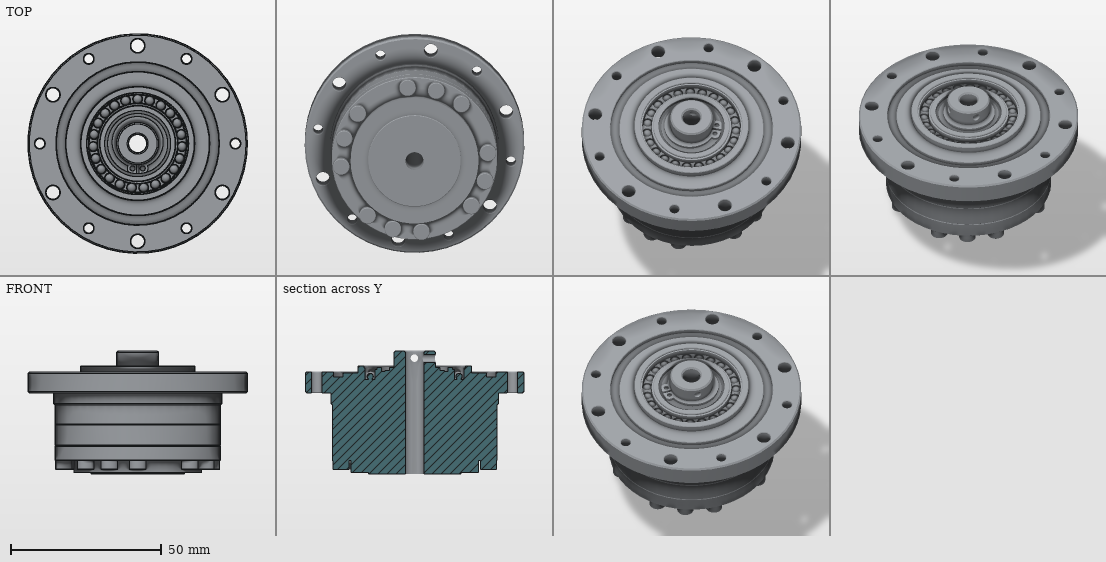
import cadquery as cq
import math

PILOT_HEIGHT = 0.5
BOLT_HEAD_BOTTOM = 1.5
BOLT_HEAD_HEIGHT = 3.0
COVER_THICKNESS = 5.0
GEAR_RING_THICKNESS = 7.0
BODY_HEIGHT = 6.5
SPIGOT_HEIGHT = 4.0
FLANGE_THICKNESS = 7.0
OUTER_RACE_HEIGHT = 2.0
INNER_RACE_DROP = 0.5
COVER_BOTTOM = BOLT_HEAD_BOTTOM + BOLT_HEAD_HEIGHT
COVER_TOP = COVER_BOTTOM + COVER_THICKNESS
GEAR_RING_TOP = COVER_TOP + GEAR_RING_THICKNESS
SPIGOT_BOTTOM = GEAR_RING_TOP + BODY_HEIGHT
FLANGE_BOTTOM = SPIGOT_BOTTOM + SPIGOT_HEIGHT
FLANGE_TOP = FLANGE_BOTTOM + FLANGE_THICKNESS
OUTER_RACE_TOP = FLANGE_TOP + OUTER_RACE_HEIGHT
INNER_RACE_TOP = OUTER_RACE_TOP - INNER_RACE_DROP
SHAFT_TOP = 41.0

PILOT_DIAMETER = 31.0
HUB_DIAMETER = 42.5
BODY_DIAMETER = 55.0
SPIGOT_DIAMETER = 56.0
FLANGE_DIAMETER = 73.0
OUTER_RACE_DIAMETER = 38.0
SHAFT_DIAMETER = 14.0
BORE_DIAMETER = 6.0

EDGE_CHAMFER = 0.5
FINE_CHAMFER = 0.2
HOLE_CHAMFER = 0.2

CARRIER_DROP = 0.2
FACE_GROOVE_DEPTH = 1.6
CARRIER_TOP = FLANGE_TOP - CARRIER_DROP
FACE_GROOVE_INNER_DIAMETER = 48.0
FACE_GROOVE_OUTER_DIAMETER = 54.0
FACE_GROOVE_FLOOR = FLANGE_TOP - FACE_GROOVE_DEPTH

BALL_COUNT = 23
BALL_DIAMETER = 3.0
BALL_CIRCLE_RADIUS = 14.8
BALL_CENTRE_Z = 32.5
FIRST_BALL_ANGLE = 90.0
RACE_GAP_FLOOR = 31.5
RACE_GAP_INNER_RADIUS = 13.25
RACE_GAP_OUTER_RADIUS = 16.4
INNER_LIP_RADIUS = 12.5
OUTER_LIP_RADIUS = 17.0
LIP_DEPTH = 0.6
CAGE_INNER_RADIUS = 13.5
CAGE_OUTER_RADIUS = 16.1
CAGE_TOP = 33.7
CAGE_POCKET_CLEARANCE = 0.3
CAGE_POCKET_DIAMETER = BALL_DIAMETER + CAGE_POCKET_CLEARANCE

RECESS_DIAMETER = 22.0
RECESS_DEPTH = 1.3
RECESS_FLOOR = INNER_RACE_TOP - RECESS_DEPTH
COLLAR_DIAMETER = 20.0
COLLAR_HEIGHT = 0.4
RETAINING_RING_BOTTOM = RECESS_FLOOR + COLLAR_HEIGHT
RETAINING_RING_THICKNESS = 1.0
RETAINING_RING_DIAMETER = 17.0
RETAINING_RING_OFFSET_Y = 0.5
LUG_DIAMETER = 3.5
LUG_HOLE_DIAMETER = 1.7
LUG_HOLE_X = 1.7
LUG_HOLE_Y = (LUG_DIAMETER - COLLAR_DIAMETER) / 2
LUG_GAP = 0.8

FLANGE_HOLE_CIRCLE_RADIUS = 32.5
FLANGE_HOLE_COUNT = 6
CLEARANCE_HOLE_DIAMETER = 4.5
CLEARANCE_HOLE_START = 30.0
TAPPED_HOLE_DIAMETER = 3.24
TAPPED_HOLE_START = 0.0
SET_SCREW_DIAMETER = 2.46
SET_SCREW_Z = 38.5
BOLT_HEAD_DIAMETER = 5.5
BOLT_CIRCLE_RADIUS = 24.5
BOLT_ANGLES_PER_QUARTER = (0.0, 45.0, 67.5)


def disc(diameter, bottom, top):
    """Plain cylinder on the Z axis."""
    return cq.Workplane("XY").workplane(offset=bottom).circle(diameter / 2).extrude(top - bottom)


def ring(inner_diameter, outer_diameter, bottom, top):
    """Plain tube on the Z axis."""
    return disc(outer_diameter, bottom, top).cut(disc(inner_diameter, bottom, top))


def revolve_profile(points):
    """Solid of revolution about the Z axis from (radius, z) corner points."""
    return cq.Workplane("XZ").polyline(points).close().revolve(360, (0, 0, 0), (0, 1, 0))


def polar_points(radius, angles):
    """Points at the given angles (degrees) on a circle about the Z axis."""
    return [
        (radius * math.cos(math.radians(angle)), radius * math.sin(math.radians(angle)))
        for angle in angles
    ]


def even_angles(start, count):
    """Equally spaced angles (degrees) around a full turn."""
    return [start + 360.0 * index / count for index in range(count)]


def make_housing():
    """Stack of coaxial steps, with the seams between them marked by small V grooves."""
    pilot = disc(PILOT_DIAMETER, 0, PILOT_HEIGHT).faces("<Z").chamfer(FINE_CHAMFER)
    hub = disc(HUB_DIAMETER, PILOT_HEIGHT, COVER_BOTTOM)
    cover = disc(BODY_DIAMETER, COVER_BOTTOM, COVER_TOP).edges().chamfer(FINE_CHAMFER)
    gear_ring = disc(BODY_DIAMETER, COVER_TOP, GEAR_RING_TOP).edges().chamfer(FINE_CHAMFER)
    body = disc(BODY_DIAMETER, GEAR_RING_TOP, SPIGOT_BOTTOM).faces("<Z").chamfer(FINE_CHAMFER)
    spigot_chamfer = (SPIGOT_DIAMETER - BODY_DIAMETER) / 2
    spigot = disc(SPIGOT_DIAMETER, SPIGOT_BOTTOM, FLANGE_BOTTOM).faces("<Z").chamfer(spigot_chamfer)
    flange = disc(FLANGE_DIAMETER, FLANGE_BOTTOM, FLANGE_TOP).edges().chamfer(EDGE_CHAMFER)
    outer_race = disc(OUTER_RACE_DIAMETER, FLANGE_TOP, OUTER_RACE_TOP).faces(">Z").chamfer(FINE_CHAMFER)
    housing = pilot
    for step in (hub, cover, gear_ring, body, spigot, flange, outer_race):
        housing = housing.union(step)
    return housing


def cut_face_groove(part):
    """Groove with both rims chamfered; the face inside it is lowered."""
    inner = FACE_GROOVE_INNER_DIAMETER / 2
    outer = FACE_GROOVE_OUTER_DIAMETER / 2
    cutter = revolve_profile([
        (OUTER_RACE_DIAMETER / 2, CARRIER_TOP),
        (inner - FINE_CHAMFER, CARRIER_TOP),
        (inner, CARRIER_TOP - FINE_CHAMFER),
        (inner, FACE_GROOVE_FLOOR),
        (outer, FACE_GROOVE_FLOOR),
        (outer, FLANGE_TOP - FINE_CHAMFER),
        (outer + FINE_CHAMFER, FLANGE_TOP),
        (OUTER_RACE_DIAMETER / 2, FLANGE_TOP),
    ])
    return part.cut(cutter)


def cut_bearing_gap(part):
    """Lower the inner race and open the gap between the races, with a stepped lip on each."""
    inner_lip = INNER_LIP_RADIUS + FINE_CHAMFER
    outer_lip = OUTER_LIP_RADIUS - FINE_CHAMFER
    inner_ledge = INNER_RACE_TOP - LIP_DEPTH
    outer_ledge = OUTER_RACE_TOP - LIP_DEPTH
    cutter = revolve_profile([
        (0, INNER_RACE_TOP),
        (INNER_LIP_RADIUS, INNER_RACE_TOP),
        (inner_lip, INNER_RACE_TOP - FINE_CHAMFER),
        (inner_lip, inner_ledge),
        (RACE_GAP_INNER_RADIUS, inner_ledge),
        (RACE_GAP_INNER_RADIUS, RACE_GAP_FLOOR),
        (RACE_GAP_OUTER_RADIUS, RACE_GAP_FLOOR),
        (RACE_GAP_OUTER_RADIUS, outer_ledge),
        (outer_lip, outer_ledge),
        (outer_lip, OUTER_RACE_TOP - FINE_CHAMFER),
        (OUTER_LIP_RADIUS, OUTER_RACE_TOP),
        (0, OUTER_RACE_TOP),
    ])
    return part.cut(cutter)


def add_cage_and_balls(part):
    """Cage posts standing on the gap floor, with a ball in the pocket between each pair."""
    centres = polar_points(BALL_CIRCLE_RADIUS, even_angles(FIRST_BALL_ANGLE, BALL_COUNT))
    cage = ring(2 * CAGE_INNER_RADIUS, 2 * CAGE_OUTER_RADIUS, RACE_GAP_FLOOR, CAGE_TOP)
    pockets = (
        cq.Workplane("XY")
        .workplane(offset=RACE_GAP_FLOOR)
        .pushPoints(centres)
        .circle(CAGE_POCKET_DIAMETER / 2)
        .extrude(CAGE_TOP - RACE_GAP_FLOOR)
    )
    part = part.union(cage.cut(pockets))
    ball = cq.Workplane("XY").sphere(BALL_DIAMETER / 2)
    for x, y in centres:
        part = part.union(ball.translate((x, y, BALL_CENTRE_Z)))
    return part


def cut_recess(part):
    """Round recess in the inner race, leaving the shaft collar standing in it."""
    part = part.cut(disc(RECESS_DIAMETER, RECESS_FLOOR, INNER_RACE_TOP))
    return part.union(disc(COLLAR_DIAMETER, RECESS_FLOOR, RETAINING_RING_BOTTOM))


def make_retaining_ring():
    """Eccentric open ring around the shaft, with two drilled lugs on the -Y side."""
    plane = cq.Workplane("XY").workplane(offset=RETAINING_RING_BOTTOM)
    body = plane.center(0, RETAINING_RING_OFFSET_Y).circle(RETAINING_RING_DIAMETER / 2)
    body = body.extrude(RETAINING_RING_THICKNESS)
    lugs = plane.center(0, LUG_HOLE_Y).slot2D(2 * LUG_HOLE_X + LUG_DIAMETER, LUG_DIAMETER)
    lugs = lugs.extrude(RETAINING_RING_THICKNESS)
    collar_outline = plane.circle(COLLAR_DIAMETER / 2).extrude(RETAINING_RING_THICKNESS)
    holes = plane.pushPoints([(-LUG_HOLE_X, LUG_HOLE_Y), (LUG_HOLE_X, LUG_HOLE_Y)])
    holes = holes.circle(LUG_HOLE_DIAMETER / 2).extrude(RETAINING_RING_THICKNESS)
    gap = plane.center(0, LUG_HOLE_Y).rect(LUG_GAP, 2 * LUG_DIAMETER).extrude(RETAINING_RING_THICKNESS)
    return body.union(lugs.intersect(collar_outline)).cut(holes).cut(gap)


def add_shaft(part):
    """Shaft end rising through the retaining ring."""
    shaft = disc(SHAFT_DIAMETER, FLANGE_BOTTOM, SHAFT_TOP).faces(">Z").chamfer(EDGE_CHAMFER)
    return part.union(shaft)


def cut_bore(part):
    """Through bore, chamfered at the top of the shaft."""
    radius = BORE_DIAMETER / 2
    cutter = revolve_profile([
        (0, 0),
        (radius, 0),
        (radius, SHAFT_TOP - EDGE_CHAMFER),
        (radius + EDGE_CHAMFER, SHAFT_TOP),
        (0, SHAFT_TOP),
    ])
    return part.cut(cutter)


def cut_set_screw_holes(part):
    """Radial holes from the bore out through the +X and +Y sides of the shaft."""
    for direction in (cq.Vector(1, 0, 0), cq.Vector(0, 1, 0)):
        hole = cq.Solid.makeCylinder(
            SET_SCREW_DIAMETER / 2, SHAFT_DIAMETER / 2, cq.Vector(0, 0, SET_SCREW_Z), direction
        )
        part = part.cut(cq.Workplane(hole))
    return part


def cut_flange_holes(part, diameter, start_angle):
    """Ring of through holes, chamfered at both flange faces."""
    radius = diameter / 2
    wide = radius + HOLE_CHAMFER
    cutter = revolve_profile([
        (0, 0),
        (wide, 0),
        (radius, HOLE_CHAMFER),
        (radius, FLANGE_THICKNESS - HOLE_CHAMFER),
        (wide, FLANGE_THICKNESS),
        (0, FLANGE_THICKNESS),
    ])
    for x, y in polar_points(FLANGE_HOLE_CIRCLE_RADIUS, even_angles(start_angle, FLANGE_HOLE_COUNT)):
        part = part.cut(cutter.translate((x, y, FLANGE_BOTTOM)))
    return part


def add_bolt_heads(part):
    """Bolt heads under the cover, in the same pattern in each quarter."""
    angles = [90.0 * quarter + angle for quarter in range(4) for angle in BOLT_ANGLES_PER_QUARTER]
    heads = (
        cq.Workplane("XY")
        .workplane(offset=BOLT_HEAD_BOTTOM)
        .pushPoints(polar_points(BOLT_CIRCLE_RADIUS, angles))
        .circle(BOLT_HEAD_DIAMETER / 2)
        .extrude(BOLT_HEAD_HEIGHT)
        .faces("<Z")
        .chamfer(FINE_CHAMFER)
    )
    return part.union(heads)


part = make_housing()
part = cut_face_groove(part)
part = cut_bearing_gap(part)
part = add_cage_and_balls(part)
part = cut_recess(part)
part = part.union(make_retaining_ring())
part = add_shaft(part)
part = cut_bore(part)
part = cut_set_screw_holes(part)
part = cut_flange_holes(part, CLEARANCE_HOLE_DIAMETER, CLEARANCE_HOLE_START)
part = cut_flange_holes(part, TAPPED_HOLE_DIAMETER, TAPPED_HOLE_START)
result = add_bolt_heads(part)